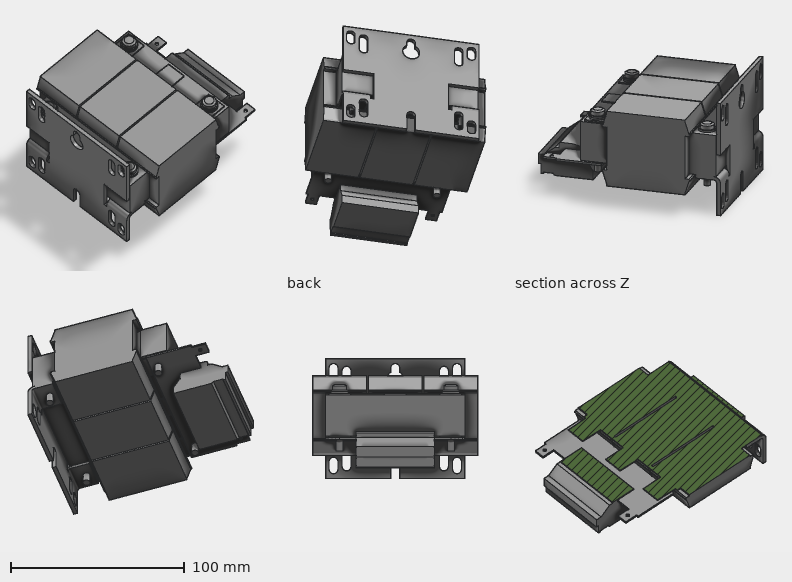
import cadquery as cq
import math


PLATE_WIDTH = 80.0
PLATE_HEIGHT = 69.0
PLATE_THICKNESS = 2.4
SLOT_WIDTH = 5.0
OUTER_SLOT_X = 35.5
OUTER_SLOT_Z = (22.3, 31.6)
INNER_SLOT_X = 28.0
INNER_SLOT_Z = (16.9, 30.0)
KEYHOLE_RADIUS = 5.0
KEYHOLE_Z = 22.3
BOTTOM_NOTCH_TOP = -21.5

WINDOW_INNER_X = 22.0
WINDOW_TOP = 2.6
WINDOW_BOTTOM = -15.8
TAB_INNER_X = 24.0
TAB_END_Y = 15.1
BEND_RADIUS = 4.0
TAB_THICKNESS = 2.1

MID_Z = 1.75
CORE_WIDTH = PLATE_WIDTH
CORE_HEIGHT = 23.8
YOKE_DEPTH = 16.1
FRONT_YOKE_Y = 2.8
REAR_YOKE_END = 84.6
LEG_HEIGHT = 23.0
LEG_SIDE_INSET = 0.5

SHEET_THICKNESS = 0.8
SHEET_RAIL_END = 69.0
SHEET_TONGUE_END = 82.7
TONGUE_ROOT_WIDTH = 13.0
TONGUE_TIP_WIDTH = 12.4

COIL_PITCH = 32.0
COIL_WIDTH = 31.0
COIL_HEIGHT = 46.0
COIL_FRONT_Y = 19.0
COIL_REAR_Y = 66.4
COIL_TOP_LAND = 1.2
EAR_SLOPE_REACH = 2.3
EAR_TIP_REACH = 2.9
EAR_BOTTOM = 13.1
EAR_TIP_LOW = 13.9
EAR_TIP_HIGH = 14.3
EAR_SLOPE_END = 14.7

SCREW_X = COIL_PITCH
FRONT_SCREW_Y = 10.6
REAR_SCREW_Y = 76.7
SCREW_LENGTH = 38.2
SHANK_DIAMETER = 4.0
HEAD_DIAMETER = 8.2
HEAD_TOP_DIAMETER = 5.6
HEAD_HEIGHT = 3.2
HEAD_BEVEL = 0.8
WASHER_DIAMETER = 10.0
WASHER_THICKNESS = 1.1
SPRING_WASHER_DIAMETER = 9.8
SPRING_WASHER_THICKNESS = 0.9

CARRIER_THICKNESS = 1.2
CARRIER_FRONT_Y = 71.8
CARRIER_REAR_Y = 99.4
LUG_X = 35.4
LUG_WIDTH = 6.5
LUG_END_Y = 107.7
LUG_HOLE_Y = 103.3
LUG_HOLE_DIAMETER = 2.0
TERMINAL_WIDTH = 45.0
TERMINAL_FRONT_Y = 82.6
TERMINAL_END_Y = 115.7
TERMINAL_BOTTOM = -28.3

NOSE_TOP = -16.0
NOSE_BOTTOM = -22.0
SLOPE_FOOT_Y = 112.2
SLOPE_HEAD_Y = 105.6

CREST_REAR_Y = 103.2
CREST_SLOPE_Y = 95.2
CREST_FRONT_Y = 86.6
CREST_TOP = -7.5
CREST_FRONT_TOP = -9.3
CREST_BEVEL = 0.8
FRONT_SLOPE_TOP = -16.5
FRONT_SLOPE_END = -23.0

RECESS_FRONT_Y = 106.9
RECESS_REAR_Y = 112.7
RECESS_DEPTH = 1.2
LIP_REAR_Y = 114.2
LIP_BOTTOM = -27.9

SHEET_TOP = MID_Z + CORE_HEIGHT / 2 + SHEET_THICKNESS
SHEET_BOTTOM = MID_Z - CORE_HEIGHT / 2 - SHEET_THICKNESS
SIDES = (-1, 1)
COIL_CENTRES = (-COIL_PITCH, 0, COIL_PITCH)


def block(x_range, y_range, z_range):
    """Axis-aligned box given by its limits along X, Y and Z."""
    size = [high - low for low, high in (x_range, y_range, z_range)]
    corner = cq.Vector(x_range[0], y_range[0], z_range[0])
    return cq.Workplane(cq.Solid.makeBox(*size, corner))


def disc(x, y, z_bottom, diameter, height):
    """Upright cylinder standing on z_bottom."""
    return cq.Workplane(cq.Solid.makeCylinder(diameter / 2, height, cq.Vector(x, y, z_bottom)))


def extrude_along_x(outline, x_low, x_high):
    """Prism from a closed (Y, Z) outline sketched on the YZ plane."""
    return outline.extrude(x_high - x_low).translate((x_low, 0, 0))


def mirrored_pair(body):
    return body.union(body.mirror("YZ"))


def plate_slot(x, z_low, z_high):
    """Cutter for an upright slot with round ends through the plate."""
    return (
        cq.Workplane("XZ")
        .center(x, (z_low + z_high) / 2)
        .slot2D(z_high - z_low, SLOT_WIDTH, 90)
        .extrude(-PLATE_THICKNESS)
    )


def mounting_plate():
    half_width = PLATE_WIDTH / 2
    half_height = PLATE_HEIGHT / 2
    plate_y = (0, PLATE_THICKNESS)
    plate = block((-half_width, half_width), plate_y, (-half_height, half_height))

    for slot_x, (z_low, z_high) in ((OUTER_SLOT_X, OUTER_SLOT_Z), (INNER_SLOT_X, INNER_SLOT_Z)):
        for side in SIDES:
            plate = plate.cut(plate_slot(side * slot_x, z_low, z_high))
            plate = plate.cut(plate_slot(side * slot_x, -z_high, -z_low))

    keyhole_circle = (
        cq.Workplane("XZ").center(0, KEYHOLE_Z).circle(KEYHOLE_RADIUS).extrude(-PLATE_THICKNESS)
    )
    plate = plate.cut(keyhole_circle).cut(plate_slot(0, KEYHOLE_Z, OUTER_SLOT_Z[1]))

    plate = plate.cut(plate_slot(0, -half_height - SLOT_WIDTH, BOTTOM_NOTCH_TOP))

    bend_start = SHEET_BOTTOM - BEND_RADIUS
    window = block((-half_width, -WINDOW_INNER_X), plate_y, (bend_start, WINDOW_TOP))
    relief = block((-TAB_INNER_X, -WINDOW_INNER_X), plate_y, (WINDOW_BOTTOM, bend_start))
    return plate.cut(mirrored_pair(window.union(relief)))


def bracket_tabs():
    """Tabs curving out of the plate and running back under the front yoke."""
    bend_start = SHEET_BOTTOM - BEND_RADIUS
    tab_bottom = SHEET_BOTTOM - TAB_THICKNESS
    inner_depth = BEND_RADIUS - PLATE_THICKNESS
    inner_height = BEND_RADIUS - TAB_THICKNESS
    diagonal = math.sqrt(0.5)
    outer_middle = (BEND_RADIUS * (1 - diagonal), bend_start + BEND_RADIUS * diagonal)
    inner_middle = (BEND_RADIUS - inner_depth * diagonal, bend_start + inner_height * diagonal)
    outline = (
        cq.Workplane("YZ")
        .moveTo(0, bend_start)
        .threePointArc(outer_middle, (BEND_RADIUS, SHEET_BOTTOM))
        .lineTo(TAB_END_Y, SHEET_BOTTOM)
        .lineTo(TAB_END_Y, tab_bottom)
        .lineTo(BEND_RADIUS, tab_bottom)
        .threePointArc(inner_middle, (PLATE_THICKNESS, bend_start))
        .close()
    )
    return mirrored_pair(extrude_along_x(outline, -PLATE_WIDTH / 2, -TAB_INNER_X))


def core():
    """Front and rear yokes, and the exposed ends of the legs in front of the rear yoke."""
    half_width = CORE_WIDTH / 2
    core_x = (-half_width, half_width)
    yoke_z = (MID_Z - CORE_HEIGHT / 2, MID_Z + CORE_HEIGHT / 2)
    leg_x = (-half_width + LEG_SIDE_INSET, half_width - LEG_SIDE_INSET)
    leg_z = (MID_Z - LEG_HEIGHT / 2, MID_Z + LEG_HEIGHT / 2)
    rear_yoke_y = REAR_YOKE_END - YOKE_DEPTH
    front_yoke = block(core_x, (FRONT_YOKE_Y, COIL_FRONT_Y), yoke_z)
    leg_ends = block(leg_x, (COIL_REAR_Y, rear_yoke_y), leg_z)
    rear_yoke = block(core_x, (rear_yoke_y, REAR_YOKE_END), yoke_z)
    return front_yoke.union(leg_ends).union(rear_yoke)


def insulating_sheets():
    """Full sheets on the front yoke; a rail with three tapered tongues on the rear yoke."""
    sheet_x = (-CORE_WIDTH / 2, CORE_WIDTH / 2)
    sheet_z = (SHEET_TOP - SHEET_THICKNESS, SHEET_TOP)
    sheets = block(sheet_x, (FRONT_YOKE_Y, COIL_FRONT_Y), sheet_z)
    sheets = sheets.union(block(sheet_x, (COIL_REAR_Y, SHEET_RAIL_END), sheet_z))
    for x in COIL_CENTRES:
        tongue = (
            cq.Workplane("XY")
            .workplane(offset=sheet_z[0])
            .moveTo(x - TONGUE_ROOT_WIDTH / 2, SHEET_RAIL_END)
            .lineTo(x + TONGUE_ROOT_WIDTH / 2, SHEET_RAIL_END)
            .lineTo(x + TONGUE_TIP_WIDTH / 2, SHEET_TONGUE_END)
            .lineTo(x - TONGUE_TIP_WIDTH / 2, SHEET_TONGUE_END)
            .close()
            .extrude(SHEET_THICKNESS)
        )
        sheets = sheets.union(tongue)
    return sheets.union(sheets.mirror("XY", (0, 0, MID_Z)))


def coils():
    """Three coil bodies whose tops and bottoms flare out into ears over the yokes."""
    half_height = COIL_HEIGHT / 2
    ear = [
        (0, half_height),
        (0, half_height - COIL_TOP_LAND),
        (EAR_SLOPE_REACH, EAR_SLOPE_END),
        (EAR_TIP_REACH, EAR_TIP_HIGH),
        (EAR_TIP_REACH, EAR_TIP_LOW),
        (EAR_SLOPE_REACH, EAR_BOTTOM),
        (0, EAR_BOTTOM),
    ]
    rear_edge = [(COIL_REAR_Y + reach, MID_Z + height) for reach, height in ear]
    rear_edge += [(COIL_REAR_Y + reach, MID_Z - height) for reach, height in reversed(ear)]
    front_edge = [(COIL_FRONT_Y + COIL_REAR_Y - y, z) for y, z in reversed(rear_edge)]
    bodies = cq.Workplane("XY")
    for x in COIL_CENTRES:
        outline = cq.Workplane("YZ").polyline(rear_edge + front_edge).close()
        bodies = bodies.add(extrude_along_x(outline, x - COIL_WIDTH / 2, x + COIL_WIDTH / 2))
    return bodies


def screw(x, y, z_seat):
    """Bevel-headed screw whose head rests on z_seat."""
    z_bevel = z_seat + HEAD_HEIGHT - HEAD_BEVEL
    head = disc(x, y, z_seat, HEAD_DIAMETER, HEAD_HEIGHT - HEAD_BEVEL)
    bevel = cq.Solid.makeCone(HEAD_DIAMETER / 2, HEAD_TOP_DIAMETER / 2, HEAD_BEVEL, cq.Vector(x, y, z_bevel))
    shank_length = SCREW_LENGTH - HEAD_HEIGHT
    shank = disc(x, y, z_seat - shank_length, SHANK_DIAMETER, shank_length)
    return head.union(cq.Workplane(bevel)).union(shank)


def fasteners():
    """One washer under each front screw, a washer and a spring washer under each rear screw."""
    washer_top = SHEET_TOP + WASHER_THICKNESS
    spring_top = washer_top + SPRING_WASHER_THICKNESS
    front = disc(SCREW_X, FRONT_SCREW_Y, SHEET_TOP, WASHER_DIAMETER, WASHER_THICKNESS)
    front = front.union(screw(SCREW_X, FRONT_SCREW_Y, washer_top))
    rear = disc(SCREW_X, REAR_SCREW_Y, SHEET_TOP, WASHER_DIAMETER, WASHER_THICKNESS)
    rear = rear.union(
        disc(SCREW_X, REAR_SCREW_Y, washer_top, SPRING_WASHER_DIAMETER, SPRING_WASHER_THICKNESS)
    )
    rear = rear.union(screw(SCREW_X, REAR_SCREW_Y, spring_top))
    return mirrored_pair(front.union(rear))


def terminal_carrier():
    """Flat plate under the rear yoke with two drilled lugs at its rear corners."""
    carrier_z = (SHEET_BOTTOM - CARRIER_THICKNESS, SHEET_BOTTOM)
    half_width = CORE_WIDTH / 2
    carrier = block((-half_width, half_width), (CARRIER_FRONT_Y, CARRIER_REAR_Y), carrier_z)
    lug = block(
        (LUG_X - LUG_WIDTH / 2, LUG_X + LUG_WIDTH / 2), (CARRIER_REAR_Y, LUG_END_Y), carrier_z
    )
    lug = lug.cut(disc(LUG_X, LUG_HOLE_Y, carrier_z[0], LUG_HOLE_DIAMETER, CARRIER_THICKNESS))
    return carrier.union(mirrored_pair(lug))


def terminal_block():
    """Terminal block of constant section, reaching above and below the carrier."""
    outline = [
        (TERMINAL_END_Y, NOSE_TOP),
        (SLOPE_FOOT_Y, NOSE_TOP),
        (SLOPE_HEAD_Y, SHEET_BOTTOM),
        (CREST_REAR_Y, SHEET_BOTTOM),
        (CREST_REAR_Y, CREST_TOP - CREST_BEVEL),
        (CREST_REAR_Y - CREST_BEVEL, CREST_TOP),
        (CREST_SLOPE_Y, CREST_TOP),
        (CREST_FRONT_Y, CREST_FRONT_TOP),
        (CREST_FRONT_Y, FRONT_SLOPE_TOP),
        (TERMINAL_FRONT_Y, FRONT_SLOPE_END),
        (TERMINAL_FRONT_Y, TERMINAL_BOTTOM),
        (RECESS_FRONT_Y - RECESS_DEPTH, TERMINAL_BOTTOM),
        (RECESS_FRONT_Y, TERMINAL_BOTTOM + RECESS_DEPTH),
        (RECESS_REAR_Y, TERMINAL_BOTTOM + RECESS_DEPTH),
        (RECESS_REAR_Y, LIP_BOTTOM),
        (LIP_REAR_Y, LIP_BOTTOM),
        (LIP_REAR_Y, NOSE_BOTTOM),
        (TERMINAL_END_Y, NOSE_BOTTOM),
    ]
    section = cq.Workplane("YZ").polyline(outline).close()
    return extrude_along_x(section, -TERMINAL_WIDTH / 2, TERMINAL_WIDTH / 2)


result = core().union(coils()).union(insulating_sheets())
result = result.union(mounting_plate()).union(bracket_tabs())
result = result.union(terminal_carrier()).union(terminal_block()).union(fasteners())